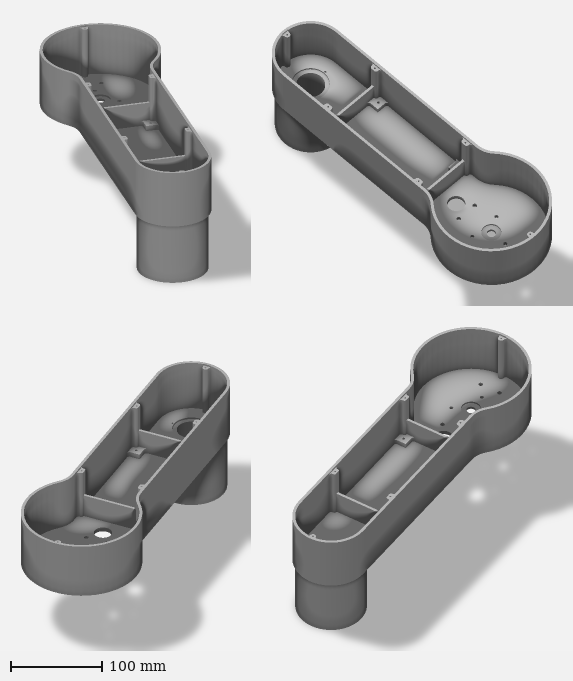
import cadquery as cq
import math

arm_length = 279.5
arm_height = 64.94
head_radius = 66.62
arm_radius = 42.5
neck_radius = 27.0
wall = 3.3
floor = 5.0
inner_half_width = arm_radius - wall

hub_radius = 39.4
hub_length = 70.0
hub_bore_radius = 16.0
hub_seat_radius = 21.0
hub_seat_depth = 2.0
hub_screw_radius = 1.2
hub_screw_offset = 22.8
hub_screw_depth = 4.0

head_bore_radius = 5.0
bearing_seat_radius = 11.0
bearing_seat_depth = 2.0
cable_hole_radius = 10.0
cable_hole_x = 54.3
large_circle_radius = 40.0
large_circle_angle = 18.0
large_circle_hole_radius = 2.5
small_circle_radius = 21.6
small_circle_angles = (60.0, 180.0, 300.0)
small_circle_hole_radius = 2.2

divider_centres = (76.2, 216.2)
divider_thickness = 3.0
divider_height = 27.0
post_half_width = 4.8
post_depth = 6.0
post_corner_radius = 2.5
post_blend = 3.0
post_screw_inset = 3.0
divider_blend = post_half_width - post_corner_radius - divider_thickness / 2
post_drop = 2.0
post_screw_radius = 1.0
post_screw_depth = 15.0

end_post_radius = 3.5
end_post_inset = 3.0
end_post_blend = 3.0
end_seat_half_width = 4.3
end_seat_bite = 0.4

pad_size = 14.0
pad_height = 6.0
pad_blend = 3.0
pad_hole_radius = 1.5
pad_hole_from_divider = 8.0
pad_hole_from_wall = 7.2

post_top = arm_height - post_drop


def cylinder(x, y, radius, bottom, top):
    """Upright cylinder between two heights."""
    return cq.Workplane("XY", origin=(x, y, bottom)).circle(radius).extrude(top - bottom)


def block(x_min, x_max, y_min, y_max, bottom, top):
    """Upright box given by its limits."""
    base = cq.Workplane("XY", origin=((x_min + x_max) / 2, (y_min + y_max) / 2, bottom))
    return base.rect(x_max - x_min, y_max - y_min).extrude(top - bottom)


def arm_outline(inset, bottom, top):
    """Keyhole-shaped prism, its sides moved inward by the inset."""
    head = head_radius - inset
    half_width = arm_radius - inset
    neck = neck_radius + inset
    neck_y = half_width + neck
    neck_x = math.sqrt((head + neck) ** 2 - neck_y ** 2)
    tangent_x = neck_x * head / (head + neck)
    tangent_y = neck_y * head / (head + neck)
    lean = (math.atan2(neck_y, neck_x) + math.pi / 2) / 2
    middle_x = neck_x - neck * math.cos(lean)
    middle_y = neck_y - neck * math.sin(lean)
    return (
        cq.Workplane("XY", origin=(0, 0, bottom))
        .moveTo(tangent_x, tangent_y)
        .threePointArc((-head, 0), (tangent_x, -tangent_y))
        .threePointArc((middle_x, -middle_y), (neck_x, -half_width))
        .lineTo(arm_length, -half_width)
        .threePointArc((arm_length + half_width, 0), (arm_length, half_width))
        .lineTo(neck_x, half_width)
        .threePointArc((middle_x, middle_y), (tangent_x, tangent_y))
        .close()
        .extrude(top - bottom)
    )


def corner_blend(x, y, x_side, y_side, radius, bottom, top):
    """Concave fillet filling the corner at (x, y), open towards the given sides."""
    end_x = x + x_side * radius
    end_y = y + y_side * radius
    bow = radius * (1 - math.sqrt(0.5))
    return (
        cq.Workplane("XY", origin=(0, 0, bottom))
        .moveTo(x, y)
        .lineTo(end_x, y)
        .threePointArc((x + x_side * bow, y + y_side * bow), (x, end_y))
        .close()
        .extrude(top - bottom)
    )


def add_divider(body, x):
    """Divider wall with a filleted screw post at both ends."""
    half = divider_thickness / 2
    divider_top = floor + divider_height
    wall_middle = inner_half_width + wall / 2
    body = body.union(block(x - half, x + half, -wall_middle, wall_middle, floor, divider_top))
    for side in (-1, 1):
        wall_y = side * inner_half_width
        tip_y = wall_y - side * post_depth
        screw_y = wall_y - side * post_screw_inset
        post_y_limits = sorted((tip_y, side * wall_middle))
        post = block(x - post_half_width, x + post_half_width, *post_y_limits, floor, post_top)
        tip_edges = "|Z and <Y" if side > 0 else "|Z and >Y"
        body = body.union(post.edges(tip_edges).fillet(post_corner_radius))
        for x_side in (-1, 1):
            post_side_x = x + x_side * post_half_width
            divider_face_x = x + x_side * half
            body = body.union(corner_blend(post_side_x, wall_y, x_side, -side, post_blend, floor, post_top))
            body = body.union(
                corner_blend(divider_face_x, tip_y, x_side, -side, divider_blend, floor, divider_top)
            )
        body = body.cut(cylinder(x, screw_y, post_screw_radius, post_top - post_screw_depth, post_top))
    return body


def add_end_post(body, wall_x, outward):
    """Screw post at a round end; wall_x is the inner wall face, outward is its X direction."""
    post_x = wall_x - outward * end_post_inset
    web_limits = sorted((post_x, wall_x + outward * wall / 2))
    body = body.union(cylinder(post_x, 0, end_post_radius, floor, post_top))
    body = body.union(block(*web_limits, -end_post_radius, end_post_radius, floor, post_top))
    for side in (-1, 1):
        body = body.union(
            corner_blend(wall_x, side * end_post_radius, -outward, side, end_post_blend, floor, post_top)
        )
    seat_limits = sorted((post_x, wall_x + outward * end_seat_bite))
    body = body.cut(block(*seat_limits, -end_seat_half_width, end_seat_half_width, post_top, arm_height))
    return body.cut(cylinder(post_x, 0, post_screw_radius, post_top - post_screw_depth, post_top))


def add_pads(body, divider_x, direction):
    """Board pads on the side of a divider that faces the given X direction."""
    face_x = divider_x + direction * divider_thickness / 2
    far_x = face_x + direction * pad_size
    hole_x = face_x + direction * pad_hole_from_divider
    top = floor + pad_height
    for side in (-1, 1):
        wall_y = side * inner_half_width
        near_y = wall_y - side * pad_size
        hole_y = wall_y - side * pad_hole_from_wall
        body = body.union(block(*sorted((divider_x, far_x)),
                                *sorted((near_y, wall_y + side * wall / 2)), floor, top))
        body = body.union(corner_blend(far_x, wall_y, direction, -side, pad_blend, floor, top))
        body = body.union(corner_blend(face_x, near_y, direction, -side, pad_blend, floor, top))
        body = body.cut(cylinder(hole_x, hole_y, pad_hole_radius, 0, top))
    return body


def cut_head_holes(body):
    """Bearing bore, cable hole and the two bolt circles in the head floor."""
    body = body.cut(cylinder(0, 0, head_bore_radius, 0, floor))
    body = body.cut(cylinder(0, 0, bearing_seat_radius, floor - bearing_seat_depth, floor))
    body = body.cut(cylinder(cable_hole_x, 0, cable_hole_radius, 0, floor))
    large_x = large_circle_radius * math.cos(math.radians(large_circle_angle))
    large_y = large_circle_radius * math.sin(math.radians(large_circle_angle))
    for x in (-large_x, large_x):
        for y in (-large_y, large_y):
            body = body.cut(cylinder(x, y, large_circle_hole_radius, 0, floor))
    for angle in small_circle_angles:
        x = small_circle_radius * math.cos(math.radians(angle))
        y = small_circle_radius * math.sin(math.radians(angle))
        body = body.cut(cylinder(x, y, small_circle_hole_radius, 0, floor))
    return body


def cut_hub_holes(body):
    """Through bore, seat and two blind screw holes on the hub axis."""
    body = body.cut(cylinder(arm_length, 0, hub_bore_radius, -hub_length, floor))
    body = body.cut(cylinder(arm_length, 0, hub_seat_radius, floor - hub_seat_depth, floor))
    for y in (-hub_screw_offset, hub_screw_offset):
        body = body.cut(cylinder(arm_length, y, hub_screw_radius, floor - hub_screw_depth, floor))
    return body


body = arm_outline(0, 0, arm_height).cut(arm_outline(wall, floor, arm_height))
body = body.union(cylinder(arm_length, 0, hub_radius, -hub_length, floor))
for divider_x in divider_centres:
    body = add_divider(body, divider_x)
body = add_end_post(body, -(head_radius - wall), -1)
body = add_end_post(body, arm_length + inner_half_width, 1)
body = add_pads(body, divider_centres[0], 1)
body = add_pads(body, divider_centres[1], -1)
body = cut_head_holes(body)
result = cut_hub_holes(body)